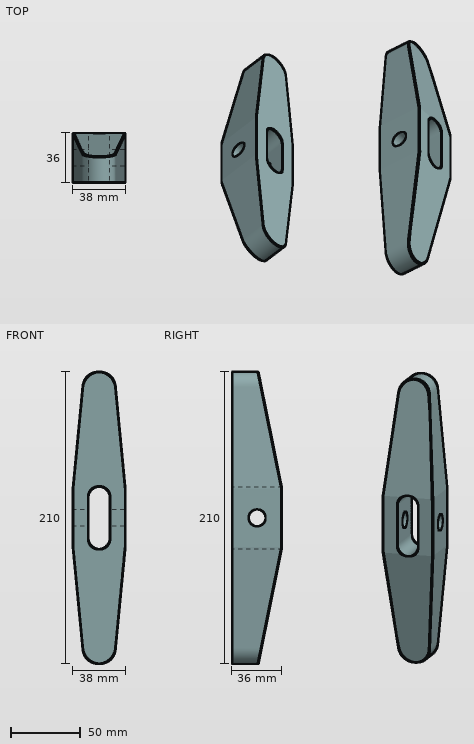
import cadquery as cq
import math

width = 38.0
depth = 36.0
length = 210.0

end_radius = 12.0
end_depth = 19.0
hub_length = 42.0

slot_width = 15.2
slot_length = 44.6
cross_hole_diameter = 12.0

front_chamfer = 0.5
slot_chamfer = 0.5
back_chamfer = 0.75

half_width = width / 2
half_length = length / 2
half_hub = hub_length / 2


def arm_tangent_point():
    """Point (x, z) where the straight side of the upper arm meets its round end."""
    center_z = half_length - end_radius
    rise = center_z - half_hub
    corner_distance = math.hypot(half_width, rise)
    corner_angle = math.atan2(-rise, half_width)
    tangent_angle = corner_angle + math.acos(end_radius / corner_distance)
    x = end_radius * math.cos(tangent_angle)
    z = center_z + end_radius * math.sin(tangent_angle)
    return x, z


def make_plan():
    """Front outline: parallel hub, two tapered arms with tangent round ends."""
    x, z = arm_tangent_point()
    return (
        cq.Workplane("XZ")
        .moveTo(half_width, -half_hub)
        .lineTo(half_width, half_hub)
        .lineTo(x, z)
        .threePointArc((0, half_length), (-x, z))
        .lineTo(-half_width, half_hub)
        .lineTo(-half_width, -half_hub)
        .lineTo(-x, -z)
        .threePointArc((0, -half_length), (x, -z))
        .close()
        .extrude(-depth)
    )


def make_side_profile():
    """Side outline: flat front at Y = 0, back sloping from the hub to each end."""
    return (
        cq.Workplane("YZ")
        .polyline([
            (0, -half_length),
            (end_depth, -half_length),
            (depth, -half_hub),
            (depth, half_hub),
            (end_depth, half_length),
            (0, half_length),
        ])
        .close()
        .extrude(half_width, both=True)
    )


def chamfer_outer_edges(body):
    """Chamfer the rims of the flat front face, the sloping back faces and the hub back."""
    body = body.faces("<Y").edges().chamfer(front_chamfer)
    for side in (1, -1):
        arm_box = cq.selectors.BoxSelector(
            (-width, end_depth - back_chamfer, side * half_hub),
            (width, depth, side * length),
        )
        arm_rim = body.edges(arm_box).edges("not (|X or |Y)")
        body = body.newObject(arm_rim.vals()).chamfer(back_chamfer)
    hub_envelope = (
        cq.Workplane("XY")
        .box(width, depth, length, centered=(True, False, True))
        .edges("|Z and >Y")
        .chamfer(back_chamfer)
    )
    return body.intersect(hub_envelope)


def cut_slot(body):
    """Round-ended slot along Z, through the full depth, with chamfered mouths."""
    slot = (
        cq.Workplane("XZ")
        .slot2D(slot_length, slot_width, 90)
        .extrude(-depth)
    )
    front_mouth = (
        cq.Workplane("XZ")
        .slot2D(slot_length + 2 * slot_chamfer, slot_width + 2 * slot_chamfer, 90)
        .extrude(-slot_chamfer, taper=45)
    )
    back_mouth = front_mouth.mirror("XZ").translate((0, depth, 0))
    return body.cut(slot).cut(front_mouth).cut(back_mouth)


def cut_cross_hole(body):
    """Round hole along X, through both slot walls at mid depth."""
    hole = (
        cq.Workplane("YZ")
        .center(depth / 2, 0)
        .circle(cross_hole_diameter / 2)
        .extrude(half_width, both=True)
    )
    return body.cut(hole)


body = make_plan().intersect(make_side_profile())
body = chamfer_outer_edges(body)
body = cut_slot(body)
result = cut_cross_hole(body)